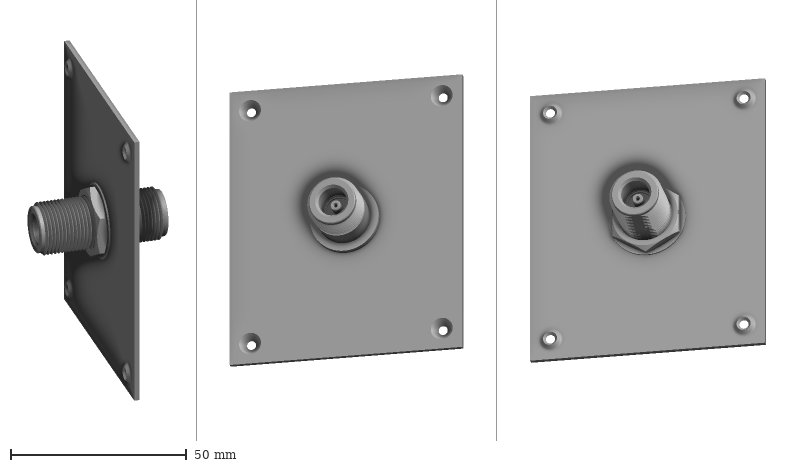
import cadquery as cq
import math


plate_width = 68.1
plate_height = 82.0
plate_thickness = 1.55
screw_inset = 6.0

dimple_height = 1.1
dimple_base_radius = 3.5
dimple_fillet_radius = 1.1
dimple_wall_angle = math.radians(45)
screw_hole_radius = 1.3
throat_depth = 0.7

front_end_y = -19.4
back_end_y = 18.6
thread_radius = 7.7
thread_pitch = 1.1
front_tooth_count = 17
back_tooth_count = 6
lead_radius = 6.8
end_chamfer = 0.25
front_lead_length = 1.3
back_lead_length = 1.5
flange_radius = 10.0
flange_thickness = 2.0
barrel_length = 6.9
flat_distance = 6.7

mouth_radius = 4.8
bore_radius = 4.1
mouth_depth = 0.8
bore_depth = 7.4
seat_radius = 3.9
seat_depth = 7.8
recess_radius = 3.45
recess_depth = 8.2
contact_radius = 1.55
contact_tip_depth = 4.1
contact_chamfer = 0.25
socket_mouth_radius = 0.7
socket_radius = 0.5
socket_mouth_depth = 0.4
socket_depth = 3.3

clearance_radius = 7.95
washer_radius = 11.1
washer_thickness = 0.5
nut_thickness = 3.1
nut_across_flats = 19.2
nut_face_radius = 9.5
nut_chamfer_angle = math.radians(30)

dimple_shoulder_radius = dimple_base_radius - dimple_fillet_radius * math.sin(dimple_wall_angle)
dimple_shoulder_height = dimple_fillet_radius * (1 - math.cos(dimple_wall_angle))
dimple_wall_height = dimple_height - dimple_shoulder_height
dimple_rim_radius = dimple_shoulder_radius - dimple_wall_height / math.tan(dimple_wall_angle)

flange_front_y = plate_thickness
barrel_front_y = flange_front_y + flange_thickness
barrel_back_y = barrel_front_y + barrel_length


def revolve_about_y(points):
    """Turn a closed outline of (radius, y) points about the Y axis."""
    return cq.Workplane("XY").polyline(points).close().revolve(360, (0, 0, 0), (0, 1, 0))


def hexagon_prism(across_flats, start_y, end_y):
    """Hexagonal bar along Y with corners pointing up and down."""
    corner_radius = across_flats / math.sqrt(3)
    corners = []
    for index in range(6):
        angle = math.radians(90 + 60 * index)
        corners.append((corner_radius * math.cos(angle), corner_radius * math.sin(angle)))
    outline = cq.Workplane("XZ", origin=(0, start_y, 0)).polyline(corners).close()
    return outline.extrude(start_y - end_y)


def keyed_bar(radius, start_y, end_y):
    """Round bar along Y with a flat on its lower side."""
    bar = cq.Workplane("XZ", origin=(0, start_y, 0)).circle(radius).extrude(start_y - end_y)
    return bar.cut(flat_cutter(radius, start_y, end_y))


def flat_cutter(radius, start_y, end_y):
    """Block of everything below the flat, between two places along Y."""
    cutter = cq.Workplane("XY").box(2 * radius, end_y - start_y, radius, centered=(True, False, False))
    return cutter.translate((0, start_y, -flat_distance - radius))


def thread_outline(start_y, tooth_count):
    """Sharp ring-shaped teeth that follow each other toward +Y."""
    points = [(lead_radius, start_y)]
    for index in range(tooth_count):
        tooth_y = start_y + index * thread_pitch
        points.append((thread_radius, tooth_y + thread_pitch / 2))
        points.append((lead_radius, tooth_y + thread_pitch))
    return points


def make_dimple(x, z):
    """Cone with a filleted base that stands up from the front face of the plate."""
    half_angle = dimple_wall_angle / 2
    fillet_middle = (
        dimple_base_radius - dimple_fillet_radius * math.sin(half_angle),
        -dimple_fillet_radius * (1 - math.cos(half_angle)),
    )
    outline = (
        cq.Workplane("XY")
        .lineTo(dimple_base_radius, 0)
        .threePointArc(fillet_middle, (dimple_shoulder_radius, -dimple_shoulder_height))
        .lineTo(dimple_rim_radius, -dimple_height)
        .lineTo(0, -dimple_height)
        .close()
    )
    cone = outline.revolve(360, (0, 0, 0), (0, 1, 0))
    return cone.translate((x, 0, z))


def make_screw_hole(x, z):
    """Through hole that flares from a narrow throat toward the dimple rim and the back face."""
    throat_y = throat_depth - dimple_height
    back_radius = screw_hole_radius + plate_thickness - throat_y
    hole = revolve_about_y([
        (0, -dimple_height),
        (dimple_rim_radius, -dimple_height),
        (screw_hole_radius, throat_y),
        (back_radius, plate_thickness),
        (0, plate_thickness),
    ])
    return hole.translate((x, 0, z))


def make_plate():
    plate = cq.Workplane("XY").box(plate_width, plate_thickness, plate_height, centered=(True, False, True))
    screw_x = plate_width / 2 - screw_inset
    screw_z = plate_height / 2 - screw_inset
    for x in (-screw_x, screw_x):
        for z in (-screw_z, screw_z):
            plate = plate.union(make_dimple(x, z)).cut(make_screw_hole(x, z))
    return plate.cut(keyed_bar(thread_radius, 0, plate_thickness))


def make_socket(end_y, inward):
    """Space inside one end; inward is the Y direction from the end into the connector."""
    around_contact = [
        (0, 0),
        (mouth_radius, 0),
        (bore_radius, mouth_depth),
        (bore_radius, bore_depth),
        (seat_radius, bore_depth),
        (seat_radius, seat_depth),
        (recess_radius, seat_depth),
        (recess_radius, recess_depth),
        (contact_radius, recess_depth),
        (contact_radius, contact_tip_depth + contact_chamfer),
        (contact_radius - contact_chamfer, contact_tip_depth),
        (socket_mouth_radius, contact_tip_depth),
        (socket_radius, contact_tip_depth + socket_mouth_depth),
        (socket_radius, contact_tip_depth + socket_depth),
        (0, contact_tip_depth + socket_depth),
    ]
    return revolve_about_y([(radius, end_y + inward * depth) for radius, depth in around_contact])


def make_connector():
    front_thread_start = front_end_y + front_lead_length
    back_thread_end = back_end_y - back_lead_length
    back_thread_start = back_thread_end - back_tooth_count * thread_pitch
    front_thread = thread_outline(front_thread_start, front_tooth_count)
    front_thread_end = front_thread[-1][1]

    outline = [
        (0, front_end_y),
        (lead_radius - end_chamfer, front_end_y),
        (lead_radius, front_end_y + end_chamfer),
        *front_thread,
        (thread_radius, front_thread_end),
        (thread_radius, flange_front_y),
        (flange_radius, flange_front_y),
        (flange_radius, barrel_front_y),
        (thread_radius, barrel_front_y),
        (thread_radius, barrel_back_y),
        (lead_radius, barrel_back_y),
        *thread_outline(back_thread_start, back_tooth_count),
        (lead_radius, back_end_y - end_chamfer),
        (lead_radius - end_chamfer, back_end_y),
        (0, back_end_y),
    ]
    connector = revolve_about_y(outline)
    connector = connector.cut(flat_cutter(thread_radius, front_end_y, flange_front_y))
    connector = connector.cut(make_socket(front_end_y, 1))
    return connector.cut(make_socket(back_end_y, -1))


def make_washer():
    disc = cq.Workplane("XZ").circle(washer_radius).circle(clearance_radius)
    return disc.extrude(washer_thickness)


def make_nut():
    back_y = -washer_thickness
    front_y = back_y - nut_thickness
    corner_radius = nut_across_flats / math.sqrt(3)
    chamfer_length = (corner_radius - nut_face_radius) * math.tan(nut_chamfer_angle)
    chamfered_ring = revolve_about_y([
        (clearance_radius, front_y),
        (nut_face_radius, front_y),
        (corner_radius, front_y + chamfer_length),
        (corner_radius, back_y - chamfer_length),
        (nut_face_radius, back_y),
        (clearance_radius, back_y),
    ])
    return hexagon_prism(nut_across_flats, front_y, back_y).intersect(chamfered_ring)


plate = make_plate()
connector = make_connector()
washer = make_washer()
nut = make_nut()

result = cq.Compound.makeCompound([plate.val(), connector.val(), washer.val(), nut.val()])